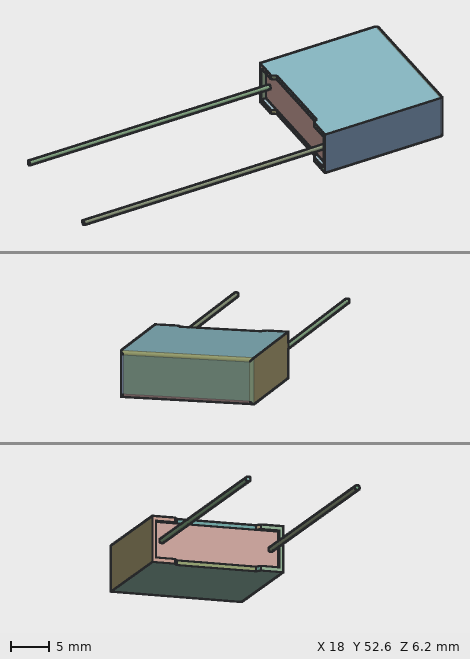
import cadquery as cq

total_length = 52.6
case_width = 18.0
case_depth = 17.6
case_height = 6.2
back_edge_radius = 0.5

side_wall = 0.5
broad_wall = 0.65
back_wall = broad_wall

notch_rim_width = 11.85
notch_depth = 0.65
notch_slope_run = 0.45

cavity_width = case_width - 2 * side_wall
cavity_height = case_height - 2 * broad_wall
filling_face_y = notch_depth
filling_depth = case_depth - back_wall - filling_face_y

lead_diameter = 0.7
lead_spacing = 15.0
lead_tip_y = case_depth - total_length
lead_length = filling_face_y - lead_tip_y


def block_along_y(width, depth, height, start_y):
    """Block centred on X and Z that runs from start_y toward +Y."""
    return cq.Workplane("XY").box(width, depth, height, centered=(True, False, True)).translate((0, start_y, 0))


def make_case():
    case = block_along_y(case_width, case_depth, case_height, 0)
    case = case.faces(">Y").edges().fillet(back_edge_radius)
    cavity = block_along_y(cavity_width, case_depth - back_wall, cavity_height, 0)
    return case.cut(cavity).cut(make_notch_cutter())


def make_notch_cutter():
    """Trapezoid through the full height, which notches both broad walls."""
    half_rim = notch_rim_width / 2
    half_floor = half_rim - notch_slope_run
    outline = [(-half_rim, 0), (half_rim, 0), (half_floor, notch_depth), (-half_floor, notch_depth)]
    return cq.Workplane("XY").polyline(outline).close().extrude(case_height / 2, both=True)


def make_filling():
    return block_along_y(cavity_width, filling_depth, cavity_height, filling_face_y)


def make_lead(x):
    """Round wire that ends on the face of the filling."""
    return (
        cq.Workplane("XZ", origin=(x, filling_face_y, 0))
        .circle(lead_diameter / 2)
        .extrude(lead_length)
    )


case = make_case()
filling = make_filling()
leads = [make_lead(side * lead_spacing / 2) for side in (-1, 1)]

result = cq.Compound.makeCompound([case.val(), filling.val(), *[lead.val() for lead in leads]])